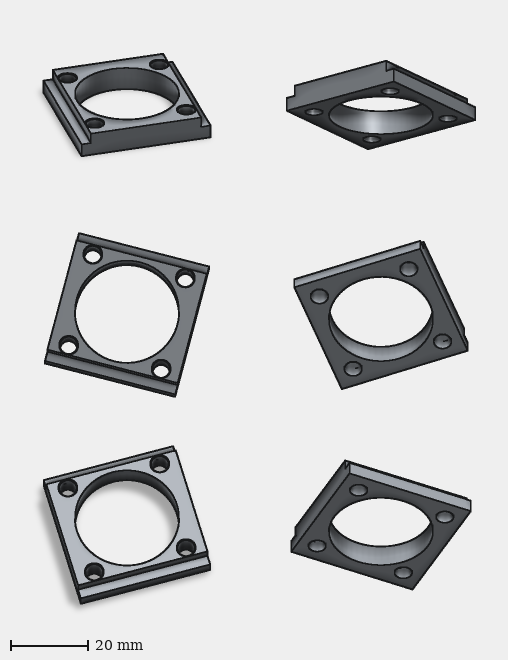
import cadquery as cq

side = 34.92
height = 6.35

ledge_width = 2.55
ledge_height = 3.55

bore_diameter = 27.0
screw_hole_diameter = 4.55
screw_hole_spacing = 24.8
countersink_diameter = 4.95
countersink_angle = 90.0

base = cq.Workplane("XY").box(side, side, ledge_height, centered=(True, True, False))
raised_plate = cq.Workplane("XY").box(
    side, side - 2 * ledge_width, height, centered=(True, True, False)
)
body = base.union(raised_plate)

body = body.faces(">Z").workplane(origin=(0, 0, height)).hole(bore_diameter)

result = (
    body.faces(">Z")
    .workplane(origin=(0, 0, height))
    .rect(screw_hole_spacing, screw_hole_spacing, forConstruction=True)
    .vertices()
    .cskHole(screw_hole_diameter, countersink_diameter, countersink_angle)
)